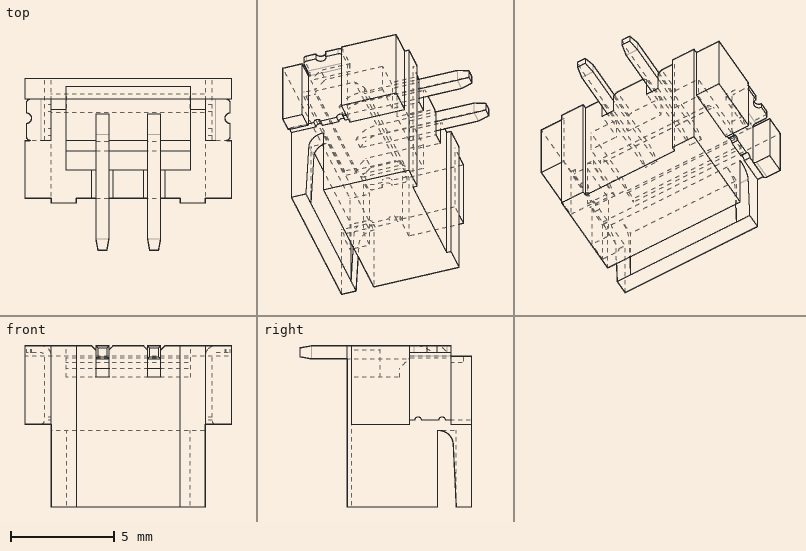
import cadquery as cq
import math

total_width = 10.0
total_height = 7.8
core_width = 7.45
housing_depth = 5.8

ear_bottom = 4.0
flange_depth = 1.0
flange_top = 7.3
recess_end = 3.0

rib_width = 1.22
rib_depth = 0.22

pocket_width = 6.04
pocket_start = 0.4
pocket_end = 4.43
pocket_floor = 7.2
groove_end = flange_depth
groove_floor = 7.0
ramp_start = recess_end
ramp_end = 3.5
ramp_bottom = 6.7
trough_floor = 6.3

gap_start = 0.75
gap_start_top = 0.93
gap_end = 1.65
gap_height = 3.7
gap_radius = 0.7
latch_arm_width = 0.75

pin_pitch = 2.5
pin_positions = (-pin_pitch / 2, pin_pitch / 2)
pin_size = 0.64
pin_start = 1.57
pin_bend_radius = 1.14
pin_tip_depth = 8.31
pin_tip_length = 0.56
pin_tip_size = 0.44
slot_chamfer = 0.2

tab_thickness = 0.33
tab_bend_radius = 0.5
tab_bottom = 4.2
tab_reach = 4.93
tab_notch_depth = 1.92
tab_notch_radius = 0.25
tab_corner_radius = 0.2
foot_notch_depths = (1.43, 2.59)
foot_notch_radius = 0.16


def block(x_min, x_max, depth_min, depth_max, z_min, z_max):
    """Box whose Y extent is given as depths measured from the back face."""
    size = (x_max - x_min, depth_max - depth_min, z_max - z_min)
    return cq.Workplane("XY").box(*size, centered=False).translate((x_min, -depth_max, z_min))


def side_profile(points, width):
    """Extrude a (depth, height) outline across X, centred on X = 0."""
    outline = [(-depth, height) for depth, height in points]
    return cq.Workplane("YZ").polyline(outline).close().extrude(width / 2, both=True)


def make_housing():
    half_width = total_width / 2
    half_core = core_width / 2
    slope_end = flange_depth + total_height - flange_top
    core = side_profile(
        [
            (0, 0),
            (0, flange_top),
            (flange_depth, flange_top),
            (slope_end, total_height),
            (housing_depth, total_height),
            (housing_depth, 0),
        ],
        core_width,
    )
    flange = block(-half_width, half_width, 0, flange_depth, ear_bottom, flange_top)
    front_block = block(-half_width, half_width, recess_end, housing_depth, ear_bottom, total_height)
    housing = core.union(flange).union(front_block)
    rib_end = housing_depth + rib_depth
    for rib_left in (-half_core, half_core - rib_width):
        rib = block(rib_left, rib_left + rib_width, housing_depth, rib_end, 0, total_height)
        housing = housing.union(rib)
    return housing


def make_pocket():
    return side_profile(
        [
            (pocket_start, total_height),
            (pocket_start, groove_floor),
            (groove_end, groove_floor),
            (groove_end, pocket_floor),
            (ramp_start, pocket_floor),
            (ramp_end, ramp_bottom),
            (ramp_end, trough_floor),
            (pocket_end, trough_floor),
            (pocket_end, total_height),
        ],
        pocket_width,
    )


def make_latch_gap():
    """Gap through the core: sloped behind the outer latch arms, upright between them."""
    middle_half = core_width / 2 - latch_arm_width
    middle_gap = block(-middle_half, middle_half, gap_start, gap_end, 0, gap_height)
    outer_gap = side_profile(
        [(gap_start, 0), (gap_start_top, gap_height), (gap_end, gap_height), (gap_end, 0)],
        core_width,
    )
    outer_gap = outer_gap.edges("|X").edges(">Z").edges(">Y").fillet(gap_radius)
    return outer_gap.union(middle_gap)


def make_foot_relief():
    """Relief in the +X flange below the solder tab leg, flaring out at the flange's underside."""
    relief_inner = core_width / 2
    relief_outer = relief_inner + tab_thickness
    flare = tab_bottom - ear_bottom
    return (
        cq.Workplane("XZ")
        .moveTo(relief_inner, ear_bottom)
        .lineTo(relief_inner, tab_bottom)
        .lineTo(relief_outer, tab_bottom)
        .radiusArc((relief_outer + flare, ear_bottom), -flare)
        .close()
        .extrude(flange_depth)
    )


def make_pin_slot():
    """Slot from the pocket through the front face, with its top edges chamfered."""
    half_slot = pin_size / 2
    half_mouth = half_slot + slot_chamfer
    chamfer_bottom = total_height - slot_chamfer
    return (
        cq.Workplane("XZ", origin=(0, -pocket_end, 0))
        .polyline(
            [
                (-half_slot, trough_floor),
                (-half_slot, chamfer_bottom),
                (-half_mouth, total_height),
                (half_mouth, total_height),
                (half_slot, chamfer_bottom),
                (half_slot, trough_floor),
            ]
        )
        .close()
        .extrude(housing_depth - pocket_end)
    )


def make_pin():
    """Square pin rising from the pocket floor, bent forward and tapered at its tip."""
    pin_bottom = total_height - pin_size
    tip_start = pin_tip_depth - pin_tip_length
    bend_end = pin_start + pin_bend_radius
    inner_radius = pin_bend_radius - pin_size
    bend_height = total_height - pin_bend_radius
    diagonal = math.sqrt(0.5)

    def arc_middle(radius):
        return (-bend_end + radius * diagonal, bend_height + radius * diagonal)

    bar = (
        cq.Workplane("YZ")
        .moveTo(-pin_start, trough_floor)
        .lineTo(-pin_start, bend_height)
        .threePointArc(arc_middle(pin_bend_radius), (-bend_end, total_height))
        .lineTo(-tip_start, total_height)
        .lineTo(-tip_start, pin_bottom)
        .lineTo(-bend_end, pin_bottom)
        .threePointArc(arc_middle(inner_radius), (-bend_end + inner_radius, bend_height))
        .lineTo(-bend_end + inner_radius, trough_floor)
        .close()
        .extrude(pin_size / 2, both=True)
    )
    tip = (
        cq.Workplane("XZ", origin=(0, -tip_start, total_height - pin_size / 2))
        .rect(pin_size, pin_size)
        .workplane(offset=pin_tip_length)
        .rect(pin_tip_size, pin_tip_size)
        .loft()
    )
    return bar.union(tip)


def make_tab():
    """Solder tab on the +X side: an upright leg bent outwards into a flat wing."""
    leg_inner = core_width / 2
    leg_outer = leg_inner + tab_thickness
    wing_bottom = total_height - tab_thickness
    tab_width = recess_end - flange_depth
    tab = (
        cq.Workplane("XZ", origin=(0, -flange_depth, 0))
        .moveTo(leg_inner, tab_bottom)
        .lineTo(leg_inner, total_height - tab_bend_radius)
        .radiusArc((leg_inner + tab_bend_radius, total_height), tab_bend_radius)
        .lineTo(tab_reach, total_height)
        .lineTo(tab_reach, wing_bottom)
        .lineTo(leg_inner + tab_bend_radius, wing_bottom)
        .radiusArc((leg_outer, total_height - tab_bend_radius), -(tab_bend_radius - tab_thickness))
        .lineTo(leg_outer, tab_bottom)
        .close()
        .extrude(tab_width)
        .edges("|Z and >X")
        .fillet(tab_corner_radius)
    )
    wing_cuts = (
        cq.Workplane("XY", origin=(0, 0, wing_bottom))
        .pushPoints([(tab_reach, -tab_notch_depth)])
        .circle(tab_notch_radius)
        .extrude(tab_thickness)
    )
    foot_cuts = (
        cq.Workplane("YZ", origin=(leg_inner, 0, 0))
        .pushPoints([(-depth, tab_bottom) for depth in foot_notch_depths])
        .circle(foot_notch_radius)
        .extrude(tab_thickness)
    )
    return tab.cut(wing_cuts).cut(foot_cuts)


result = make_housing().cut(make_pocket()).cut(make_latch_gap())
foot_relief = make_foot_relief()
result = result.cut(foot_relief).cut(foot_relief.mirror("YZ"))
for pin_x in pin_positions:
    result = result.cut(make_pin_slot().translate((pin_x, 0, 0)))
for pin_x in pin_positions:
    result = result.union(make_pin().translate((pin_x, 0, 0)))
right_tab = make_tab()
result = result.union(right_tab).union(right_tab.mirror("YZ"))